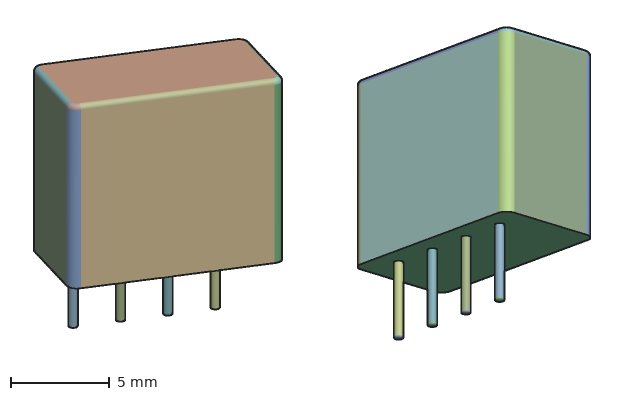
import cadquery as cq

HOUSING_WIDTH = 6.1
HOUSING_LENGTH = 11.53
HOUSING_HEIGHT = 10.0
CORNER_RADIUS = 0.58
TOP_EDGE_RADIUS = 0.28

PIN_COUNT = 4
PIN_PITCH = 2.54
PIN_DIAMETER = 0.5
PIN_LENGTH = 4.1
PIN_TIP_RADIUS = 0.1
PIN_SIDE_INSET = 1.25
PIN_END_INSET = 1.84

PIN_X = PIN_SIDE_INSET - HOUSING_WIDTH / 2
FIRST_PIN_Y = PIN_END_INSET - HOUSING_LENGTH / 2


def make_housing():
    """Solid block with rounded upright corners and a rounded top rim."""
    block = cq.Workplane("XY").box(
        HOUSING_WIDTH, HOUSING_LENGTH, HOUSING_HEIGHT, centered=(True, True, False)
    )
    return block.edges("|Z").fillet(CORNER_RADIUS).faces(">Z").edges().fillet(TOP_EDGE_RADIUS)


def make_pin(y):
    """Round pin hanging from the housing underside, with a rounded tip."""
    pin = cq.Workplane("XY").center(PIN_X, y).circle(PIN_DIAMETER / 2).extrude(-PIN_LENGTH)
    return pin.faces("<Z").edges().fillet(PIN_TIP_RADIUS)


housing = make_housing()
pins = [make_pin(FIRST_PIN_Y + index * PIN_PITCH) for index in range(PIN_COUNT)]

result = cq.Compound.makeCompound([housing.val(), *[pin.val() for pin in pins]])